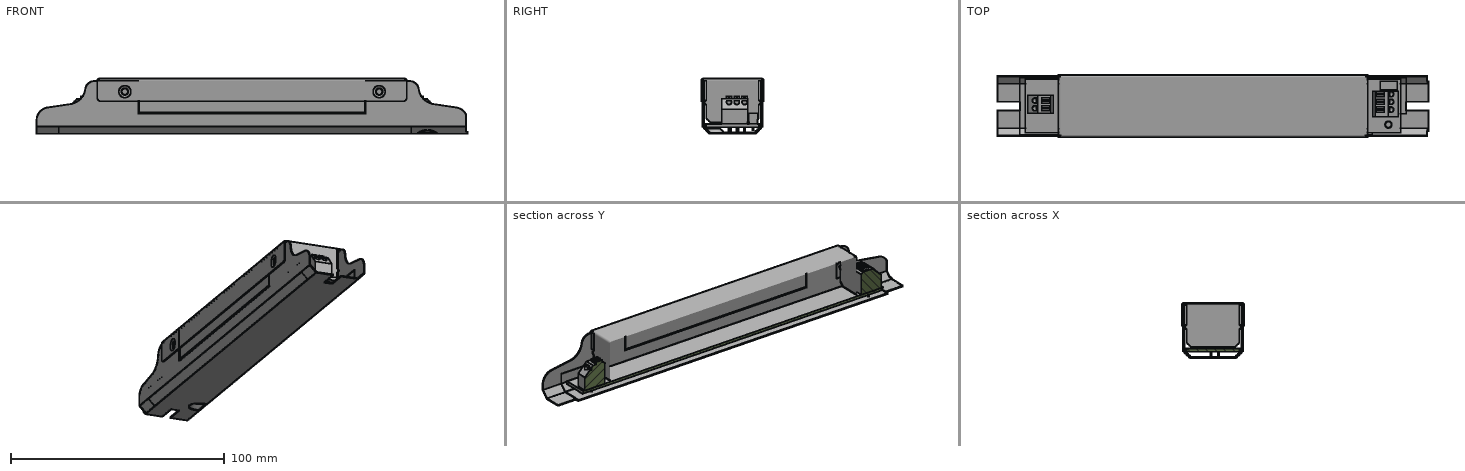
import cadquery as cq
import math

length = 202.0
width = 29.3
height = 26.0
sheet = 0.5
film = 0.3
bend_shrink = 2 - math.sqrt(2)

base_half_width = width / 2 - sheet
base_chamfer = 3.5
wall_top = 24.8
wall_end = length / 2 - 0.6
floor_tongue_height = 1.0
slot_width = 4.0
slot_end = 90.5
end_straight = 6.7
end_curve_middle = (99.2, 10.7)
ramp_foot = (95.1, 12.5)
ramp_head = (85.6, 14.0)
hollow_middle = (80.5, 16.2)
hollow_head = (78.2, 21.2)
shoulder_middle = (76.5, 23.8)
shoulder_end = (73.5, wall_top)
opening_half_length = 53.3
opening_bottom = 9.5

dimple_x = 82.2
dimple_y = -8.7
dimple_radius = 5.5
dimple_height = 2.8
ground_stud = 2.8
board_hole = 3.2

cover_length = 145.0
cover_skirt_bottom = 15.4
cover_bend = 1.2
skirt_corner = 1.6
flap_half_width = 12.3
flap_bottom = 5.5
flap_chamfer = 1.8
flap_tab_half_width = 13.3
flap_tab_center = 14.7
flap_tab_half_height = 1.2

screw_x = 59.5
screw_z = 19.8
screw_recess = 5.7
screw_hole = 3.2
screw_core = 2.8

film_half_length = slot_end
film_end_top = 8.9
film_middle_top = 24.6
film_step = 70.7
opening_gap = 0.6
film_notch_x = 74.7
film_notch_y = -3.6

board_half_length = 87.9
board_half_width = 12.5
board_bottom = 3.0
board_top = 4.6
block_x = 82.5
block_y = 9.7
block_size = (8.0, 4.0, 5.0)
block_lead_bottom = 1.8

terminal_length = 12.0
left_sides = (-3.5, 5.0)
right_sides = (-5.0, 7.0)
left_contact_y = 0.8
right_contact_y = 2.0
terminal_top = 16.4
terminal_face_top = 11.5
terminal_back_bevel = 1.0
terminal_outer_end = 86.9
contact_pitch = 3.6
wire_hole = 2.5
wire_hole_depth = 4.0
wire_hole_height = 3.5
button_size = (3.6, 2.5)
button_slot = 0.6
button_height = 1.2
button_offset = 8.5
lead_diameter = 0.7
lead_bottom = 1.0
lead_offset = 6.0


def channel_outline(half_width, bottom, chamfer, top, start, run):
    """Solid prism along X with a flat bottom and 45 degree lower corners."""
    half_floor = half_width - chamfer
    return (
        cq.Workplane("YZ", origin=(start, 0, 0))
        .polyline([
            (-half_width, top),
            (-half_width, bottom + chamfer),
            (-half_floor, bottom),
            (half_floor, bottom),
            (half_width, bottom + chamfer),
            (half_width, top),
        ])
        .close()
        .extrude(run)
    )


def channel(half_width, bottom, chamfer, top, thickness, start, run):
    """Bent sheet channel along X of constant thickness."""
    outer = channel_outline(half_width, bottom, chamfer, top, start, run)
    inner = channel_outline(
        half_width - thickness, bottom + thickness, chamfer - bend_shrink * thickness, top, start, run
    )
    return outer.cut(inner)


def box(x_range, y_range, z_range):
    """Box between the given limits."""
    lows, highs = zip(x_range, y_range, z_range)
    sizes = [high - low for low, high in zip(lows, highs)]
    return cq.Workplane("XY").box(*sizes, centered=False).translate(lows)


def wall_profile():
    """Side silhouette of the base walls, extruded across the whole width."""
    end = length / 2
    half = (
        cq.Workplane("XZ", origin=(0, width, 0))
        .lineTo(end, 0)
        .lineTo(end, end_straight)
        .threePointArc(end_curve_middle, ramp_foot)
        .lineTo(*ramp_head)
        .threePointArc(hollow_middle, hollow_head)
        .threePointArc(shoulder_middle, shoulder_end)
        .lineTo(0, wall_top)
        .close()
        .extrude(2 * width)
    )
    return half.union(half.mirror("YZ"))


def dimple_cone(lowering):
    """45 degree cone of the grounding dimple, lowered to give its hollow underside."""
    top_radius = dimple_radius - dimple_height
    cone = cq.Solid.makeCone(dimple_radius, top_radius, dimple_height)
    return cq.Workplane(cone.translate(cq.Vector(dimple_x, dimple_y, -lowering)))


def ground_cylinder(diameter):
    """Upright cylinder at the grounding point, from the dimple to the top of the board."""
    return (
        cq.Workplane("XY", origin=(dimple_x, dimple_y, dimple_height))
        .circle(diameter / 2)
        .extrude(board_top - dimple_height)
    )


def screw_cylinder(diameter, x):
    """Cylinder across the whole width at a screw point."""
    return (
        cq.Workplane("XZ", origin=(x, width, screw_z))
        .circle(diameter / 2)
        .extrude(2 * width)
    )


def make_base():
    base = channel(base_half_width, 0, base_chamfer, height, sheet, -length / 2, length)
    base = base.intersect(wall_profile())
    base = base.cut(box((wall_end, length), (-width, width), (floor_tongue_height, height)))
    slot = box((slot_end, length), (-slot_width / 2, slot_width / 2), (0, sheet))
    base = base.cut(slot).cut(slot.mirror("YZ"))
    base = base.cut(box(
        (-opening_half_length, opening_half_length), (-width, width), (opening_bottom, height)
    ))
    for x in (-screw_x, screw_x):
        base = base.cut(screw_cylinder(screw_core, x))
    inside = channel_outline(base_half_width, 0, base_chamfer, height, -length / 2, length)
    base = base.union(dimple_cone(0).intersect(inside)).cut(dimple_cone(sheet))
    return base.union(ground_cylinder(ground_stud))


def screw_recess_cone(x):
    """Conical recess through the front skirt, from the large to the small screw diameter."""
    cone = cq.Solid.makeCone(
        screw_recess / 2, screw_hole / 2, sheet,
        pnt=cq.Vector(x, -width / 2, screw_z), dir=cq.Vector(0, 1, 0),
    )
    return cq.Workplane(cone)


def make_flap(start):
    """End flap hanging from the cover top, with beveled lower corners and a pointed tab each side."""
    def side_points(side):
        points = [
            (flap_half_width - flap_chamfer, flap_bottom),
            (flap_half_width, flap_bottom + flap_chamfer),
            (flap_half_width, flap_tab_center - flap_tab_half_height),
            (flap_tab_half_width, flap_tab_center),
            (flap_half_width, flap_tab_center + flap_tab_half_height),
            (flap_half_width, height - cover_bend),
        ]
        return [(side * y, z) for y, z in points]

    outline = side_points(1) + side_points(-1)[::-1]
    return cq.Workplane("YZ", origin=(start, 0, 0)).polyline(outline).close().extrude(sheet)


def make_cover():
    half_length = cover_length / 2
    shell = box((-half_length, half_length), (-width / 2, width / 2), (cover_skirt_bottom, height))
    shell = shell.edges(">Z").fillet(cover_bend)
    inner_length = half_length - sheet
    inner_width = width / 2 - sheet
    inside = box((-inner_length, inner_length), (-inner_width, inner_width), (0, height - sheet))
    cover = shell.cut(inside.edges(">Z").fillet(cover_bend - sheet))
    ends = box((-half_length, half_length), (-inner_width, inner_width), (0, height - cover_bend))
    cover = cover.cut(ends)
    corners = box(
        (-half_length, half_length), (-width, width),
        (cover_skirt_bottom, cover_skirt_bottom + 2 * skirt_corner),
    )
    cover = cover.cut(corners.cut(corners.edges("|Y and <Z").fillet(skirt_corner)))
    for start in (-half_length, half_length - sheet):
        cover = cover.union(make_flap(start))
    for x in (-screw_x, screw_x):
        recess = screw_recess_cone(x)
        cover = cover.cut(recess).cut(recess.mirror("XZ"))
    return cover


def make_insulator():
    half_width = base_half_width - sheet
    chamfer = base_chamfer - bend_shrink * sheet
    insulator = channel(
        half_width, sheet, chamfer, film_middle_top, film, -film_half_length, 2 * film_half_length
    )
    tongue_half_length = opening_half_length - opening_gap
    for side_wall in ((half_width, base_half_width), (-base_half_width, -half_width)):
        insulator = insulator.union(box(
            (-tongue_half_length, tongue_half_length),
            side_wall,
            (opening_bottom + opening_gap, film_middle_top),
        ))
    end_step = box((film_step, length), (-width, width), (film_end_top, height))
    insulator = insulator.cut(end_step).cut(end_step.mirror("YZ"))
    return insulator.cut(box((film_notch_x, length), (-width, film_notch_y), (0, height)))


def make_board():
    board = box(
        (-board_half_length, board_half_length),
        (-board_half_width, board_half_width),
        (board_bottom, board_top),
    )
    board = board.cut(ground_cylinder(board_hole))
    block_length, block_width, block_height = block_size
    block = cq.Workplane("XY").box(block_length, block_width, block_height, centered=(True, True, False))
    lead = cq.Workplane("XY").circle(lead_diameter / 2).extrude(block_lead_bottom - board_top)
    return board.union(block.union(lead).translate((block_x, block_y, board_top)))


def lead_cylinder(y):
    """Solder lead of one contact, in the coordinates of the left terminal."""
    x = lead_offset - terminal_outer_end
    return (
        cq.Workplane("XY", origin=(x, y, lead_bottom))
        .circle(lead_diameter / 2)
        .extrude(board_top - lead_bottom)
    )


def make_terminal(low_side, high_side, contact_rows):
    """Left-hand terminal: 45 degree wire side with holes, and a release button for each hole."""
    outer = -terminal_outer_end
    inner = outer + terminal_length
    slope = terminal_top - terminal_face_top
    terminal = (
        cq.Workplane("XZ", origin=(0, high_side, 0))
        .polyline([
            (outer, board_top),
            (outer, terminal_face_top),
            (outer + slope, terminal_top),
            (inner - terminal_back_bevel, terminal_top),
            (inner, terminal_top - terminal_back_bevel),
            (inner, board_top),
        ])
        .close()
        .extrude(high_side - low_side)
    )
    for y in contact_rows:
        drill = cq.Solid.makeCylinder(
            wire_hole / 2, wire_hole_depth,
            cq.Vector(outer, y, terminal_face_top + wire_hole_height),
            cq.Vector(1, 0, 0),
        )
        terminal = terminal.cut(cq.Workplane(drill))
        button = cq.Workplane("XY").box(*button_size, button_height, centered=(True, True, False))
        slot = cq.Workplane("XY").box(button_size[0], button_slot, 2 * button_slot)
        button = button.cut(slot.translate((0, 0, button_height)))
        terminal = terminal.union(button.translate((outer + button_offset, y, terminal_top)))
        terminal = terminal.union(lead_cylinder(y))
    return terminal


left_rows = [left_contact_y + side * contact_pitch / 2 for side in (-1, 1)]
right_rows = [right_contact_y + step * contact_pitch for step in (-1, 0, 1)]

base = make_base()
cover = make_cover()
insulator = make_insulator()
left_terminal = make_terminal(*left_sides, left_rows)
right_terminal = make_terminal(*right_sides, right_rows).mirror("YZ")

board = make_board()
for y in left_rows:
    board = board.cut(lead_cylinder(y))
for y in right_rows:
    board = board.cut(lead_cylinder(y).mirror("YZ"))

result = cq.Compound.makeCompound([
    base.val(),
    cover.val(),
    insulator.val(),
    board.val(),
    left_terminal.val(),
    right_terminal.val(),
])